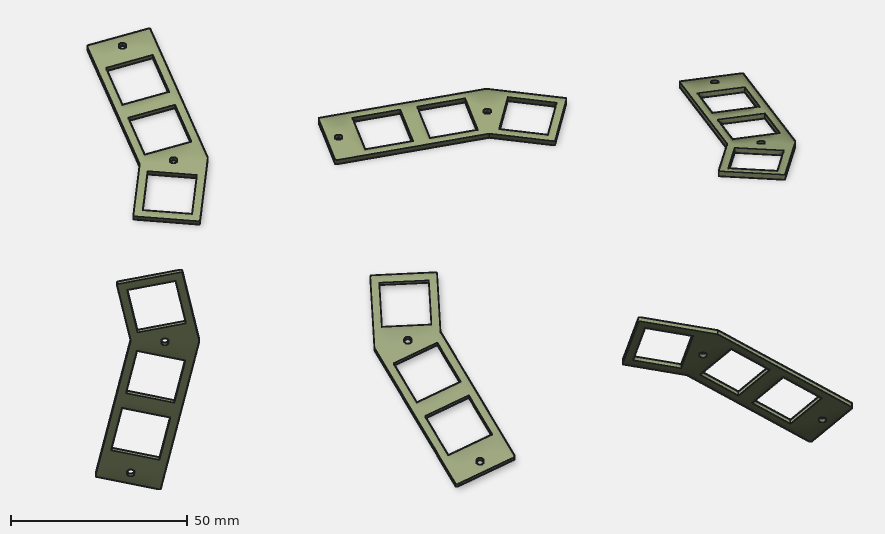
import cadquery as cq
import math

overall_length = 70.25
thickness = 1.6
strip_width = 19.05
arm_length = 23.2
bend_angle = 25.0
corner_radius = 0.5

window_size = 14.05
window_pitch = strip_width
first_window_x = 16.45
straight_window_count = 2

hole_diameter = 2.2
hole_positions_x = (3.45, 47.15)

centreline_y = strip_width / 2
bend = math.radians(bend_angle)

end_round_center_x = overall_length - corner_radius
upper_bend_x = (
    end_round_center_x
    - (arm_length - corner_radius) * math.cos(bend)
    + corner_radius * math.sin(bend)
)
lower_bend_x = upper_bend_x - strip_width * math.tan(bend / 2)


def arm_point(along, across):
    """Point at a distance along the arm's upper edge and inward from it."""
    return (
        upper_bend_x + along * math.cos(bend) - across * math.sin(bend),
        strip_width - along * math.sin(bend) - across * math.cos(bend),
    )


def make_plate():
    """Bent plate with its four end corners rounded."""
    end_corners = [
        (0, 0),
        (0, strip_width),
        arm_point(arm_length, 0),
        arm_point(arm_length, strip_width),
    ]
    outline = [
        *end_corners[:2],
        (upper_bend_x, strip_width),
        *end_corners[2:],
        (lower_bend_x, 0),
    ]
    plate = cq.Workplane("XY").polyline(outline).close().extrude(thickness)
    for x, y in end_corners:
        nearest_edge = cq.selectors.NearestToPointSelector((x, y, thickness / 2))
        plate = plate.edges("|Z").edges(nearest_edge).fillet(corner_radius)
    return plate


def window_cutter(center, angle=0):
    """Square prism through the plate, turned about its own centre."""
    prism = cq.Workplane("XY").rect(window_size, window_size).extrude(thickness)
    return prism.rotate((0, 0, 0), (0, 0, 1), angle).translate((*center, 0))


result = make_plate()

for index in range(straight_window_count):
    window_x = first_window_x + index * window_pitch
    result = result.cut(window_cutter((window_x, centreline_y)))

arm_window_center = arm_point(arm_length - strip_width / 2, strip_width / 2)
result = result.cut(window_cutter(arm_window_center, -bend_angle))

hole_centers = [(x, centreline_y) for x in hole_positions_x]
holes = cq.Workplane("XY").pushPoints(hole_centers).circle(hole_diameter / 2).extrude(thickness)
result = result.cut(holes)